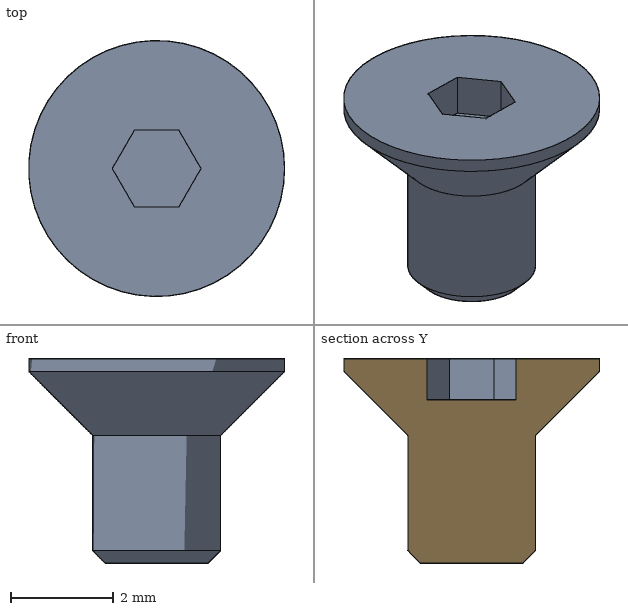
import cadquery as cq
import math

head_diameter = 5.0
shank_diameter = 2.5
total_height = 4.0
rim_height = 0.25
tip_chamfer = 0.25
socket_across_flats = 1.5
socket_depth = 0.8

head_radius = head_diameter / 2
shank_radius = shank_diameter / 2
rim_bottom = total_height - rim_height
cone_height = head_radius - shank_radius
cone_bottom = rim_bottom - cone_height


def make_body():
    """Revolve the half profile of head, shank and chamfered tip."""
    return (
        cq.Workplane("XZ")
        .lineTo(shank_radius - tip_chamfer, 0)
        .lineTo(shank_radius, tip_chamfer)
        .lineTo(shank_radius, cone_bottom)
        .lineTo(head_radius, rim_bottom)
        .lineTo(head_radius, total_height)
        .lineTo(0, total_height)
        .close()
        .revolve(360, (0, 0, 0), (0, 1, 0))
    )


def make_socket():
    """Flat-bottomed hexagon with two corners on the X axis."""
    across_corners = socket_across_flats / math.cos(math.pi / 6)
    return (
        cq.Workplane("XY")
        .workplane(offset=total_height - socket_depth)
        .polygon(6, across_corners)
        .extrude(socket_depth)
    )


result = make_body().cut(make_socket())